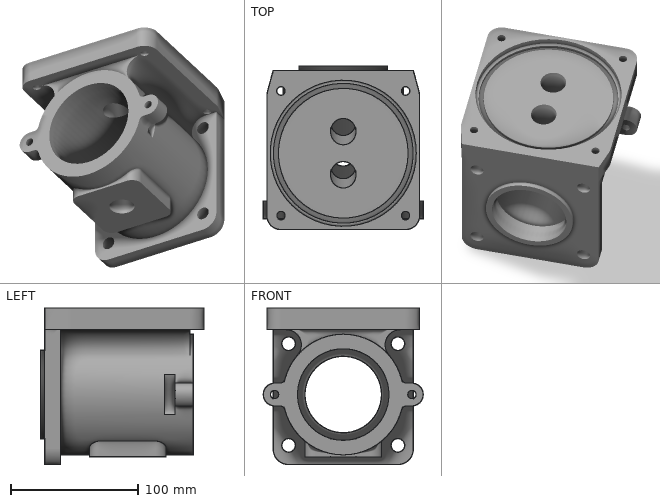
import cadquery as cq
import math


tube_diameter = 95
bore_diameter = 72
tube_front_y = -117

flange_width = 110.4
flange_thickness = 12.5
flange_bottom_z = -flange_width / 2
flange_corner_radius = 12.2
flange_hole_diameter = 10.5
flange_hole_x = flange_width / 2 - flange_corner_radius
flange_hole_z = 40
pilot_diameter = 70
pilot_length = 3.5
pilot_bore_diameter = 60

plate_width = 120.4
plate_thickness = 17.2
plate_bottom_z = 51
plate_top_z = plate_bottom_z + plate_thickness
plate_front_y = -125.5
plate_center_y = plate_front_y + plate_width / 2
plate_hole_diameter = 6.5
plate_hole_offset = 49
plate_corner_radius = plate_width / 2 - plate_hole_offset
taper_angle = 15
taper_blend_radius = 15
taper_length = (plate_width - flange_width) / 2 / math.tan(math.radians(taper_angle))

recess_diameter = 115
recess_depth = 5
groove_outer_diameter = 110
groove_inner_diameter = 102
groove_depth = 2.5

port_diameter = 20
port_spacing = 34
port_tilt = 15
port_overrun = 4

neck_front_y = plate_front_y + plate_corner_radius
neck_side_radius = 12

ear_radius = 9
ear_offset = 54
ear_thickness = 14.3
ear_rear_y = tube_front_y + ear_thickness
ear_hole_diameter = 6.5
ear_fillet_radius = 4

relief_radius = 35
relief_length = 8.3
relief_half_height = 15.8

pad_width = 60.4
pad_bottom_z = -49
pad_corner_radius = 8
drain_diameter = 20


def y_cylinder(diameter, y_start, y_end, x=0, z=0):
    """Cylinder along Y between two y positions."""
    length = abs(y_end - y_start)
    return (
        cq.Workplane("XZ", origin=(x, max(y_start, y_end), z))
        .circle(diameter / 2)
        .extrude(length)
    )


def z_cylinder(diameter, z_start, z_end, x=0, y=0):
    """Cylinder along Z between two heights."""
    return (
        cq.Workplane("XY", origin=(x, y, z_start))
        .circle(diameter / 2)
        .extrude(z_end - z_start)
    )


def make_flange():
    height = plate_bottom_z - flange_bottom_z
    flange = (
        cq.Workplane("XY")
        .box(flange_width, flange_thickness, height, centered=(True, False, False))
        .translate((0, -flange_thickness, flange_bottom_z))
        .edges("|Y and <Z")
        .fillet(flange_corner_radius)
    )
    return flange.union(y_cylinder(pilot_diameter, 0, pilot_length))


def make_plate():
    half = plate_width / 2
    plate = (
        cq.Workplane("XY", origin=(0, 0, plate_bottom_z))
        .moveTo(-half, plate_front_y)
        .lineTo(half, plate_front_y)
        .lineTo(half, -taper_length)
        .lineTo(flange_width / 2, 0)
        .lineTo(-flange_width / 2, 0)
        .lineTo(-half, -taper_length)
        .close()
        .extrude(plate_thickness)
    )
    plate = plate.edges("|Z and <Y").fillet(plate_corner_radius)
    for side in (-1, 1):
        taper_corner = cq.selectors.NearestToPointSelector(
            (side * half, -taper_length, plate_bottom_z + plate_thickness / 2)
        )
        plate = plate.edges(taper_corner).fillet(taper_blend_radius)
    return plate


def make_neck():
    """Web whose concave sides are tangent to both the tube and the underside of the plate."""
    center_z = plate_bottom_z - neck_side_radius
    center_distance = tube_diameter / 2 + neck_side_radius
    center_x = math.sqrt(center_distance**2 - center_z**2)
    tangent_ratio = tube_diameter / 2 / center_distance
    tangent_x = center_x * tangent_ratio
    tangent_z = center_z * tangent_ratio
    neck = (
        cq.Workplane("XZ", origin=(0, -flange_thickness, 0))
        .moveTo(0, 0)
        .lineTo(tangent_x, tangent_z)
        .lineTo(center_x, center_z)
        .lineTo(center_x, plate_bottom_z)
        .lineTo(-center_x, plate_bottom_z)
        .lineTo(-center_x, center_z)
        .lineTo(-tangent_x, tangent_z)
        .close()
        .extrude(-flange_thickness - neck_front_y)
    )
    for side in (-1, 1):
        scallop_x = side * center_x
        scallop = y_cylinder(2 * neck_side_radius, -flange_thickness, neck_front_y, scallop_x, center_z)
        neck = neck.cut(scallop)
    return neck


def make_ears():
    """Two ears with filleted roots, carried by a slice of the tube."""
    bar = (
        cq.Workplane("XZ", origin=(0, ear_rear_y, 0))
        .rect(2 * ear_offset, 2 * ear_radius)
        .extrude(ear_thickness)
    )
    ears = y_cylinder(tube_diameter, ear_rear_y, tube_front_y).union(bar)
    root_x = math.sqrt((tube_diameter / 2) ** 2 - ear_radius**2)
    middle_y = ear_rear_y - ear_thickness / 2
    for x in (-root_x, root_x):
        for z in (-ear_radius, ear_radius):
            root_edge = cq.selectors.NearestToPointSelector((x, middle_y, z))
            ears = ears.edges(root_edge).fillet(ear_fillet_radius)
    for x in (-ear_offset, ear_offset):
        ears = ears.union(y_cylinder(2 * ear_radius, ear_rear_y, tube_front_y, x))
    return ears


def make_pad():
    return (
        cq.Workplane("XY", origin=(0, plate_center_y, pad_bottom_z))
        .rect(pad_width, pad_width)
        .extrude(-pad_bottom_z)
        .edges("|Z")
        .fillet(pad_corner_radius)
    )


def cut_bore(body):
    body = body.cut(y_cylinder(bore_diameter, -flange_thickness, tube_front_y))
    return body.cut(y_cylinder(pilot_bore_diameter, pilot_length, -flange_thickness))


def cut_recess(body):
    floor_z = plate_top_z - recess_depth
    groove_z = floor_z - groove_depth
    recess = z_cylinder(recess_diameter, floor_z, plate_top_z, y=plate_center_y)
    groove = z_cylinder(groove_outer_diameter, groove_z, floor_z, y=plate_center_y)
    island = z_cylinder(groove_inner_diameter, groove_z, floor_z, y=plate_center_y)
    return body.cut(recess).cut(groove.cut(island))


def cut_ports(body):
    """Two ports leaning rearward as they descend into the bore."""
    floor_z = plate_top_z - recess_depth
    for side in (-1, 1):
        entry = (0, plate_center_y + side * port_spacing / 2, floor_z)
        port = (
            z_cylinder(port_diameter, -floor_z, port_overrun)
            .rotate((0, 0, 0), (1, 0, 0), port_tilt)
            .translate(entry)
        )
        body = body.cut(port)
    return body


def cut_screw_holes(body):
    for x in (-flange_hole_x, flange_hole_x):
        for z in (-flange_hole_z, flange_hole_z):
            body = body.cut(y_cylinder(flange_hole_diameter, 0, -flange_thickness, x, z))
    for x in (-plate_hole_offset, plate_hole_offset):
        for y in (-plate_hole_offset, plate_hole_offset):
            hole = z_cylinder(plate_hole_diameter, plate_bottom_z, plate_top_z, x, plate_center_y + y)
            body = body.cut(hole)
    for x in (-ear_offset, ear_offset):
        body = body.cut(y_cylinder(ear_hole_diameter, ear_rear_y, tube_front_y, x))
    return body


def cut_reliefs(body):
    """Round-bottomed pockets that clear the screws behind the ears."""
    relief_rear_y = ear_rear_y + relief_length
    rim_x = math.sqrt((tube_diameter / 2) ** 2 - relief_half_height**2)
    center_x = rim_x + math.sqrt(relief_radius**2 - relief_half_height**2)
    for side in (-1, 1):
        body = body.cut(y_cylinder(2 * relief_radius, ear_rear_y, relief_rear_y, side * center_x))
    return body


body = (
    y_cylinder(tube_diameter, 0, tube_front_y)
    .union(make_flange())
    .union(make_neck())
    .union(make_plate())
    .union(make_ears())
    .union(make_pad())
)
body = cut_bore(body)
body = body.cut(z_cylinder(drain_diameter, pad_bottom_z, 0, y=plate_center_y))
body = cut_recess(body)
body = cut_ports(body)
body = cut_screw_holes(body)
result = cut_reliefs(body)